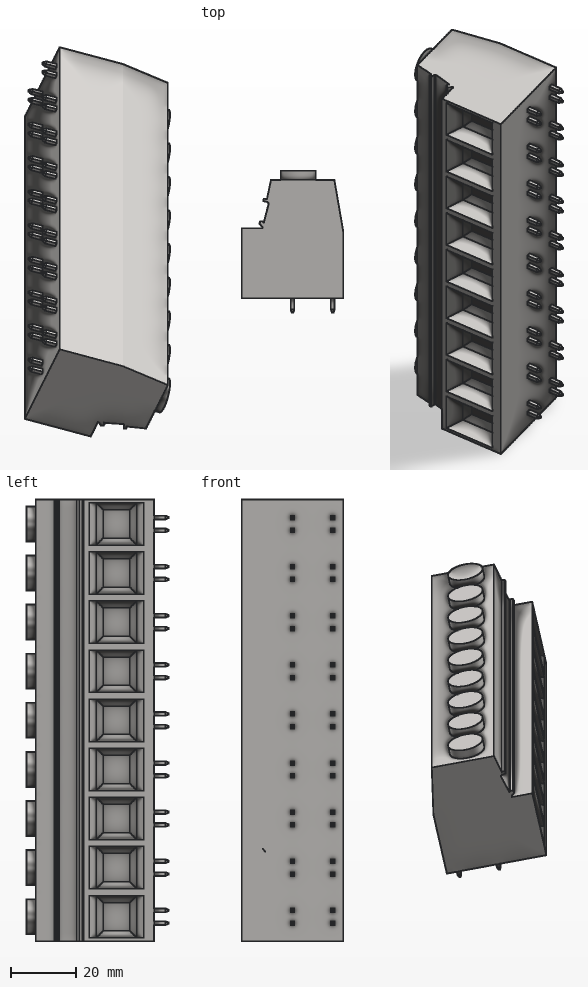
import cadquery as cq

station_count = 9
block_length = 135.0
pitch = block_length / station_count

body_depth = 31.0
body_height = 36.2
entry_height = 21.5
shoulder_height = 20.5
roof_front = 8.9
roof_back = 28.4

upper_rib = [(7.7, 30.4), (6.9, 30.5), (6.6, 30.1), (6.6, 29.7), (7.8, 29.4), (8.2, 29.0)]
lower_rib = [(6.8, 23.2), (6.3, 23.6), (5.7, 23.6), (5.4, 22.8), (6.3, 21.7)]
rib_root = lower_rib[-1][0]

funnel_center_y = 11.5
funnel_width = 16.7
funnel_height = 13.0
funnel_inset = 2.2
mouth_depth = 6.0
throat_depth = 1.6

screw_diameter = 10.8
screw_rise = 2.8
screw_x = 17.3

pin_columns_x = (body_depth / 2, 27.8)
pin_spacing_z = 3.9
pin_width = 1.2
pin_length = 4.5
pin_tip_length = 1.1
pin_tip_width = 0.4


def housing():
    outline = [
        (0, 0),
        (body_depth, 0),
        (body_depth, shoulder_height),
        (roof_back, body_height),
        (roof_front, body_height),
        *upper_rib,
        *lower_rib,
        (rib_root, entry_height),
        (0, entry_height),
    ]
    return cq.Workplane("XY").polyline(outline).close().extrude(block_length)


def funnel_step(z, x_start, depth, start_size, end_size):
    """Pyramid frustum along +X between two (Y, Z) rectangle sizes."""
    return (
        cq.Workplane("YZ", origin=(x_start, funnel_center_y, z))
        .rect(*start_size)
        .workplane(offset=depth)
        .rect(*end_size)
        .loft(ruled=True)
    )


def funnel(z):
    """Wire entry: only the Y walls taper in the mouth, all four in the throat."""
    opening = (funnel_width, funnel_height)
    middle = (funnel_width - 2 * funnel_inset, funnel_height)
    floor = (funnel_width - 4 * funnel_inset, funnel_height - 2 * funnel_inset)
    mouth = funnel_step(z, 0, mouth_depth, opening, middle)
    throat = funnel_step(z, mouth_depth, throat_depth, middle, floor)
    return mouth.union(throat)


def screw(z):
    return (
        cq.Workplane("XZ", origin=(screw_x, body_height, z))
        .circle(screw_diameter / 2)
        .extrude(-screw_rise)
    )


def pin(x, z):
    """Square pin along -Y with a blunt pyramid tip."""
    shank_length = pin_length - pin_tip_length
    return (
        cq.Workplane("XZ", origin=(x, 0, z))
        .rect(pin_width, pin_width)
        .extrude(shank_length)
        .faces("<Y")
        .workplane()
        .rect(pin_width, pin_width)
        .workplane(offset=pin_tip_length)
        .rect(pin_tip_width, pin_tip_width)
        .loft(ruled=True)
    )


result = housing()
for station in range(station_count):
    station_z = (station + 0.5) * pitch
    result = result.cut(funnel(station_z)).union(screw(station_z))
    for pin_x in pin_columns_x:
        for side in (-1, 1):
            result = result.union(pin(pin_x, station_z + side * pin_spacing_z / 2))